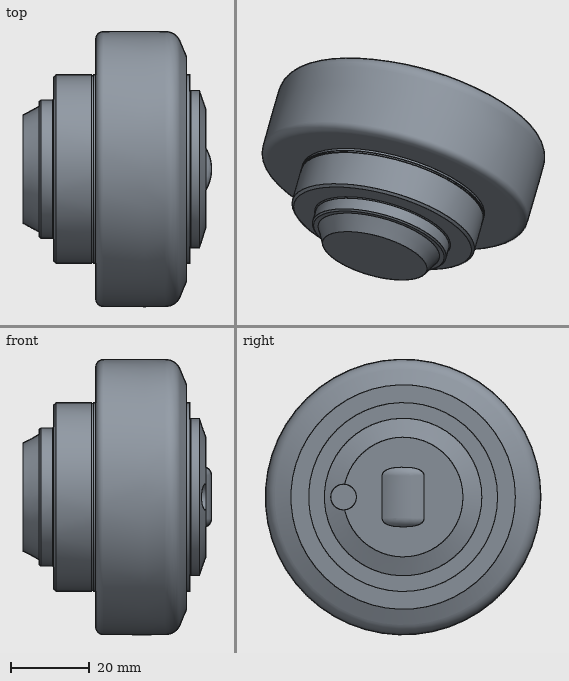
import cadquery as cq
import math


tip_radius = 13.75
tip_length = 4.15
tip_base_radius = 16.0
collar_radius = 17.6
collar_chamfer = 0.4
collar_flare = 0.3

hub_radius = 48.0 / 2
hub_start = 7.85
hub_chamfer = 0.6
hub_groove_start = 17.45
hub_groove_width = 0.5
hub_groove_depth = 0.2
hub_end = 42.5

rim_radius = 35.05
rim_crown = 0.1
roller_start = 18.5
roller_end = 41.65
near_round = 1.95
far_round = 3.9
bevel_radius = 28.5
bevel_angle = math.radians(22.8)

head_radius = 40.0 / 2
head_edge_chamfer = 0.3
head_bevel_start = 44.85
head_face_radius = 15.2
head_face = 46.55

total_length = 48.0
axial_roller_radius = 10.4
axial_roller_flat_length = 10.9
axial_roller_round = 2.3

head_hole_diameter = 6.5
head_hole_offset = 15.15
head_hole_depth = 2.8


def disc(start, end, radius):
    """Cylinder along X between two stations."""
    return cq.Workplane("YZ").workplane(offset=start).circle(radius).extrude(end - start)


def revolve_about_x(profile):
    """Turn a closed (x, radius) profile about the main axis."""
    return profile.close().revolve(360, (0, 0, 0), (1, 0, 0))


def make_stud():
    return revolve_about_x(
        cq.Workplane("XY")
        .lineTo(0, tip_radius)
        .lineTo(tip_length, tip_base_radius)
        .lineTo(tip_length, collar_radius - collar_chamfer)
        .lineTo(tip_length + collar_chamfer, collar_radius)
        .lineTo(hub_start - collar_flare, collar_radius)
        .lineTo(hub_start, collar_radius + collar_flare)
        .lineTo(hub_start, 0)
    )


def make_hub():
    hub = disc(hub_start, hub_end, hub_radius).faces("<X").chamfer(hub_chamfer)
    groove_end = hub_groove_start + hub_groove_width
    groove = disc(hub_groove_start, groove_end, hub_radius).cut(
        disc(hub_groove_start, groove_end, hub_radius - hub_groove_depth)
    )
    return hub.cut(groove)


def make_roller():
    edge_radius = rim_radius - rim_crown
    round_turn = math.pi / 2 - bevel_angle
    bevel_top_radius = edge_radius - far_round * (1 - math.cos(round_turn))
    bevel_top_x = roller_end - (bevel_top_radius - bevel_radius) * math.tan(bevel_angle)
    far_rim_x = bevel_top_x - far_round * math.sin(round_turn)
    far_mid_x = far_rim_x + far_round * math.sin(round_turn / 2)
    far_mid_radius = edge_radius - far_round * (1 - math.cos(round_turn / 2))
    near_rim_x = roller_start + near_round
    near_inset = near_round * (1 - math.sqrt(0.5))
    return revolve_about_x(
        cq.Workplane("XY")
        .moveTo(roller_start, 0)
        .lineTo(roller_start, edge_radius - near_round)
        .threePointArc((roller_start + near_inset, edge_radius - near_inset), (near_rim_x, edge_radius))
        .threePointArc(((near_rim_x + far_rim_x) / 2, rim_radius), (far_rim_x, edge_radius))
        .threePointArc((far_mid_x, far_mid_radius), (bevel_top_x, bevel_top_radius))
        .lineTo(roller_end, bevel_radius)
        .lineTo(roller_end, 0)
    )


def make_head():
    return revolve_about_x(
        cq.Workplane("XY")
        .moveTo(hub_end, 0)
        .lineTo(hub_end, head_radius - head_edge_chamfer)
        .lineTo(hub_end + head_edge_chamfer, head_radius)
        .lineTo(head_bevel_start, head_radius)
        .lineTo(head_face, head_face_radius)
        .lineTo(head_face, 0)
    )


def make_axial_roller():
    length = axial_roller_flat_length + 2 * axial_roller_round
    return (
        cq.Workplane("XY")
        .center(total_length - axial_roller_radius, 0)
        .circle(axial_roller_radius)
        .extrude(length / 2, both=True)
        .faces("|Z")
        .edges()
        .fillet(axial_roller_round)
    )


head_hole = (
    disc(head_face - head_hole_depth, head_face, head_hole_diameter / 2)
    .translate((0, -head_hole_offset, 0))
)

result = (
    make_hub()
    .union(make_stud())
    .union(make_roller())
    .union(make_head())
    .cut(head_hole)
    .union(make_axial_roller())
)